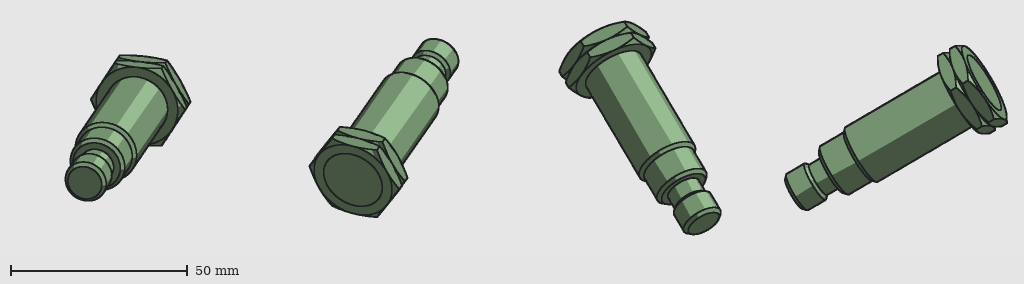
import cadquery as cq
import math

total_length = 63.5

barrel_diameter = 18.05
collar_diameter = 16.0
neck_diameter = 10.05
plug_diameter = 12.0
edge_chamfer = 1.0

plug_rim_end = 7.0
collar_start = 12.5
barrel_start = 22.5

nut_across_flats = 24.0
nut_thickness = 4.0
nut_count = 2
nut_chamfer_angle = 30.0
nut_across_corners = nut_across_flats / math.cos(math.radians(30))


def make_body():
    """Revolve the stepped half-profile about the Y axis."""
    barrel_radius = barrel_diameter / 2
    collar_radius = collar_diameter / 2
    neck_radius = neck_diameter / 2
    plug_radius = plug_diameter / 2
    plug_taper_length = plug_radius - neck_radius
    barrel_taper_length = barrel_radius - collar_radius
    profile = [
        (0, 0),
        (plug_radius - edge_chamfer, 0),
        (plug_radius, edge_chamfer),
        (plug_radius, plug_rim_end),
        (neck_radius, plug_rim_end + plug_taper_length),
        (neck_radius, collar_start),
        (collar_radius - edge_chamfer, collar_start),
        (collar_radius, collar_start + edge_chamfer),
        (collar_radius, barrel_start - barrel_taper_length),
        (barrel_radius, barrel_start),
        (barrel_radius, total_length),
        (0, total_length),
    ]
    return cq.Workplane("XY").polyline(profile).close().revolve(360, (0, 0), (0, 1))


def make_nut(front_y):
    """Hexagon nut with corners on +/-X, both ends chamfered, bored to fit the barrel."""
    back_y = front_y + nut_thickness
    flat_radius = nut_across_flats / 2
    corner_radius = nut_across_corners / 2
    chamfer_length = (corner_radius - flat_radius) * math.tan(math.radians(nut_chamfer_angle))

    hexagon = (
        cq.Workplane("XZ", origin=(0, front_y, 0))
        .polygon(6, nut_across_corners)
        .circle(barrel_diameter / 2)
        .extrude(-nut_thickness)
    )
    chamfer_envelope = (
        cq.Workplane("XY")
        .polyline([
            (0, front_y),
            (flat_radius, front_y),
            (corner_radius, front_y + chamfer_length),
            (corner_radius, back_y - chamfer_length),
            (flat_radius, back_y),
            (0, back_y),
        ])
        .close()
        .revolve(360, (0, 0), (0, 1))
    )
    return hexagon.intersect(chamfer_envelope)


body = make_body()

nuts = []
for index in range(nut_count):
    nut_front = total_length - (index + 1) * nut_thickness
    nuts.append(make_nut(nut_front).val())

result = cq.Compound.makeCompound([body.val(), *nuts])